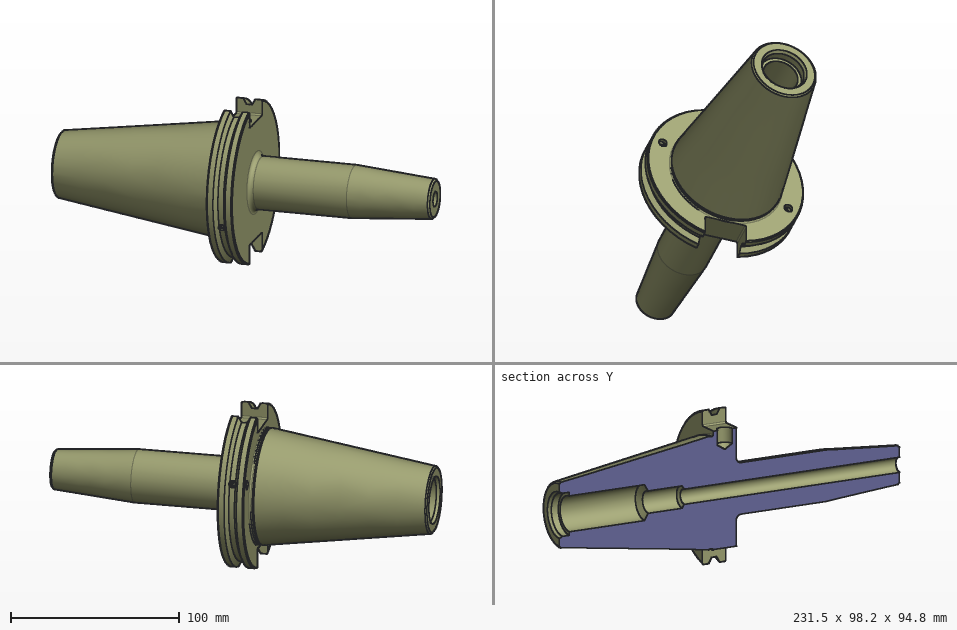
import cadquery as cq
import math

TOTAL_LENGTH = 231.5
GAUGE_DIAMETER = 70.0
TAPER_LENGTH = 101.7
TAPER_RATIO = 7 / 24
SHANK_END_CHAMFER = 1.0

NECK_DIAMETER = 69.2
NECK_STEP_LENGTH = 1.0
NECK_FILLET = 1.0

FLANGE_DIAMETER = 98.2
FLANGE_REAR = 104.7
FLANGE_FRONT = 120.7
FLANGE_CHAMFER = 0.7
GROOVE_FLOOR_DIAMETER = 91.3
GROOVE_FLOOR_WIDTH = 3.5
GROOVE_FLANK_ANGLE = 30

STEM_DIAMETER = 32.0
STEM_FILLET = 3.0
NOSE_START = 181.3
NOSE_TIP_DIAMETER = 24.0
NOSE_CHAMFER = 1.2

MOUTH_DIAMETER = 28.5
COUNTERBORE_DIAMETER = 26.2
COUNTERBORE_DEPTH = 6.7
MOUTH_CONE_ANGLE = 30
REAR_BORE_DIAMETER = 21.8
REAR_BORE_DEPTH = 58
MIDDLE_BORE_DIAMETER = 13.5
MIDDLE_BORE_LENGTH = 23.2
THROUGH_DIAMETER = 9.0
DRILL_HALF_ANGLE = 59

SLOT_WIDTH = 25.7
TOP_SLOT_FLOOR = 37.8
BOTTOM_SLOT_FLOOR = 35.2
SLOT_FILLET = 1.0
SLOT_HOLE_DIAMETER = 9.7
SLOT_HOLE_DEPTH = 9.3

COOLANT_ANGLE = 20
AXIAL_SEAT_DIAMETER = 5.0
AXIAL_SEAT_DEPTH = 2.3
AXIAL_SEAT_CIRCLE_RADIUS = 42.0
AXIAL_HOLE_DIAMETER = 3.2
AXIAL_HOLE_DEPTH = 5.0
AXIAL_HOLE_CIRCLE_RADIUS = 41.2
RADIAL_SEAT_DIAMETER = 4.2
RADIAL_SEAT_FLOOR = 43.8
RADIAL_HOLE_DIAMETER = 2.5
RADIAL_HOLE_FLOOR = 39.4

flange_radius = FLANGE_DIAMETER / 2
gauge_radius = GAUGE_DIAMETER / 2
groove_x = (FLANGE_REAR + FLANGE_FRONT) / 2


def cone_length(large_diameter, small_diameter, half_angle):
    return (large_diameter - small_diameter) / 2 / math.tan(math.radians(half_angle))


def drilled_hole(diameter, depth):
    """Hole along local +X from the origin, with a drill-point bottom."""
    radius = diameter / 2
    tip = depth + cone_length(diameter, 0, DRILL_HALF_ANGLE)
    outline = cq.Workplane("XY").polyline([(0, 0), (0, radius), (depth, radius), (tip, 0)]).close()
    return outline.revolve(360, (0, 0, 0), (1, 0, 0))


def make_body():
    shank_end_radius = gauge_radius - TAPER_LENGTH * TAPER_RATIO / 2
    neck_radius = NECK_DIAMETER / 2
    stem_radius = STEM_DIAMETER / 2
    tip_radius = NOSE_TIP_DIAMETER / 2
    neck_fillet_middle = NECK_FILLET * (1 - math.sqrt(0.5))
    stem_fillet_middle = STEM_FILLET * (1 - math.sqrt(0.5))
    outline = (
        cq.Workplane("XY")
        .lineTo(0, shank_end_radius - SHANK_END_CHAMFER)
        .lineTo(SHANK_END_CHAMFER, shank_end_radius + SHANK_END_CHAMFER * TAPER_RATIO / 2)
        .lineTo(TAPER_LENGTH, gauge_radius)
        .lineTo(TAPER_LENGTH + NECK_STEP_LENGTH, neck_radius)
        .lineTo(FLANGE_REAR - NECK_FILLET, neck_radius)
        .threePointArc(
            (FLANGE_REAR - neck_fillet_middle, neck_radius + neck_fillet_middle),
            (FLANGE_REAR, neck_radius + NECK_FILLET),
        )
        .lineTo(FLANGE_REAR, flange_radius - FLANGE_CHAMFER)
        .lineTo(FLANGE_REAR + FLANGE_CHAMFER, flange_radius)
        .lineTo(FLANGE_FRONT - FLANGE_CHAMFER, flange_radius)
        .lineTo(FLANGE_FRONT, flange_radius - FLANGE_CHAMFER)
        .lineTo(FLANGE_FRONT, stem_radius + STEM_FILLET)
        .threePointArc(
            (FLANGE_FRONT + stem_fillet_middle, stem_radius + stem_fillet_middle),
            (FLANGE_FRONT + STEM_FILLET, stem_radius),
        )
        .lineTo(NOSE_START, stem_radius)
        .lineTo(TOTAL_LENGTH - NOSE_CHAMFER, tip_radius)
        .lineTo(TOTAL_LENGTH, tip_radius - NOSE_CHAMFER)
        .lineTo(TOTAL_LENGTH, 0)
        .close()
    )
    return outline.revolve(360, (0, 0, 0), (1, 0, 0))


def make_groove():
    floor_radius = GROOVE_FLOOR_DIAMETER / 2
    half_floor = GROOVE_FLOOR_WIDTH / 2
    flank_width = (flange_radius - floor_radius) * math.tan(math.radians(GROOVE_FLANK_ANGLE))
    half_top = half_floor + flank_width
    outline = cq.Workplane("XY").polyline([
        (groove_x - half_floor, floor_radius),
        (groove_x + half_floor, floor_radius),
        (groove_x + half_top, flange_radius),
        (groove_x - half_top, flange_radius),
    ]).close()
    return outline.revolve(360, (0, 0, 0), (1, 0, 0))


def make_bore():
    mouth_depth = cone_length(MOUTH_DIAMETER, COUNTERBORE_DIAMETER, MOUTH_CONE_ANGLE)
    middle_start = REAR_BORE_DEPTH + cone_length(REAR_BORE_DIAMETER, MIDDLE_BORE_DIAMETER, DRILL_HALF_ANGLE)
    middle_end = middle_start + MIDDLE_BORE_LENGTH
    through_start = middle_end + cone_length(MIDDLE_BORE_DIAMETER, THROUGH_DIAMETER, DRILL_HALF_ANGLE)
    outline = cq.Workplane("XY").polyline([
        (0, 0),
        (0, MOUTH_DIAMETER / 2),
        (mouth_depth, COUNTERBORE_DIAMETER / 2),
        (COUNTERBORE_DEPTH, COUNTERBORE_DIAMETER / 2),
        (COUNTERBORE_DEPTH, REAR_BORE_DIAMETER / 2),
        (REAR_BORE_DEPTH, REAR_BORE_DIAMETER / 2),
        (middle_start, MIDDLE_BORE_DIAMETER / 2),
        (middle_end, MIDDLE_BORE_DIAMETER / 2),
        (through_start, THROUGH_DIAMETER / 2),
        (TOTAL_LENGTH, THROUGH_DIAMETER / 2),
        (TOTAL_LENGTH, 0),
    ]).close()
    return outline.revolve(360, (0, 0, 0), (1, 0, 0))


def make_slot(floor_height):
    """Drive slot cutter at the top of the flange, with rounded floor corners."""
    slot = cq.Workplane("XY").box(
        FLANGE_FRONT - FLANGE_REAR, SLOT_WIDTH, flange_radius - floor_height, centered=(False, True, False)
    )
    return slot.edges("|X and <Z").fillet(SLOT_FILLET).translate((FLANGE_REAR, 0, floor_height))


def make_slot_hole():
    hole = drilled_hole(SLOT_HOLE_DIAMETER, SLOT_HOLE_DEPTH)
    return hole.rotate((0, 0, 0), (0, 1, 0), 90).translate((groove_x, 0, TOP_SLOT_FLOOR))


def make_axial_hole():
    """Stepped hole into the rear face of the flange, on the +Y side, its deeper step nearer the axis."""
    seat = drilled_hole(AXIAL_SEAT_DIAMETER, AXIAL_SEAT_DEPTH)
    hole = drilled_hole(AXIAL_HOLE_DIAMETER, AXIAL_HOLE_DEPTH)
    seat = seat.translate((FLANGE_REAR, AXIAL_SEAT_CIRCLE_RADIUS, 0))
    return seat.union(hole.translate((FLANGE_REAR, AXIAL_HOLE_CIRCLE_RADIUS, 0)))


def make_radial_hole():
    """Stepped hole into the floor of the V groove, on the +Y side."""
    seat = cq.Workplane("YZ").circle(RADIAL_SEAT_DIAMETER / 2).extrude(flange_radius - RADIAL_SEAT_FLOOR)
    hole = drilled_hole(RADIAL_HOLE_DIAMETER, flange_radius - RADIAL_HOLE_FLOOR).union(seat)
    return hole.rotate((0, 0, 0), (0, 0, 1), -90).translate((groove_x, flange_radius, 0))


result = make_body().cut(make_groove()).cut(make_bore())
result = result.cut(make_slot(TOP_SLOT_FLOOR)).cut(make_slot_hole())
result = result.cut(make_slot(BOTTOM_SLOT_FLOOR).rotate((0, 0, 0), (1, 0, 0), 180))

coolant_holes = make_axial_hole().union(make_radial_hole())
for turn in (COOLANT_ANGLE, COOLANT_ANGLE + 180):
    result = result.cut(coolant_holes.rotate((0, 0, 0), (1, 0, 0), turn))